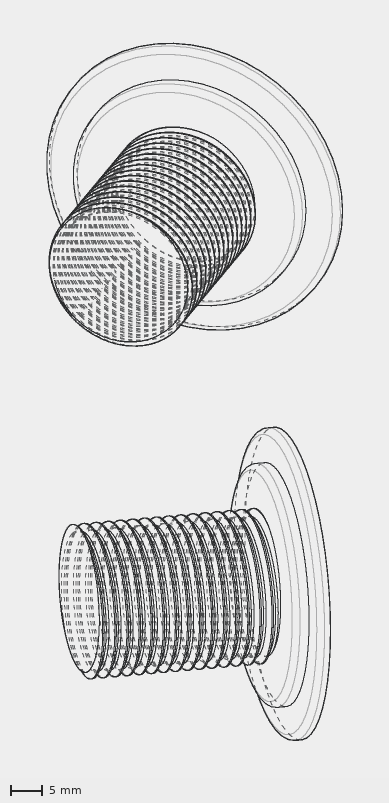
import cadquery as cq
import math

flange_diameter = 50.0
flange_thickness = 2.0
shoulder_diameter = 39.0
shoulder_thickness = 2.5
rim_fillet = 1.0

stud_length = 30.0
crest_diameter = 24.8
root_diameter = 22.55
pitch = 2.0
crest_flat = pitch / 8
flank_angle = 30.0
ridge_overlap = 0.15

shoulder_top = flange_thickness + shoulder_thickness
total_length = shoulder_top + stud_length
crest_radius = crest_diameter / 2
root_radius = root_diameter / 2


def rounded_disc(diameter, thickness, base_height):
    """Disc with its upper rim rounded."""
    disc = cq.Workplane("XY").workplane(offset=base_height).circle(diameter / 2).extrude(thickness)
    return disc.faces(">Z").edges().fillet(rim_fillet)


def thread_ridge():
    """Right-handed trapezoidal ridge that starts inside the head and runs past the stud tip."""
    end_height = total_length - pitch / 4 + pitch
    turns = math.ceil((end_height - shoulder_top) / pitch) + 1
    length = turns * pitch
    start_height = end_height - length

    inner_radius = root_radius - ridge_overlap
    half_crest = crest_flat / 2
    half_base = half_crest + (crest_radius - inner_radius) * math.tan(math.radians(flank_angle))
    profile = (
        cq.Workplane("XZ")
        .moveTo(inner_radius, start_height - half_base)
        .lineTo(crest_radius, start_height - half_crest)
        .lineTo(crest_radius, start_height + half_crest)
        .lineTo(inner_radius, start_height + half_base)
        .close()
    )
    helix = cq.Wire.makeHelix(pitch, length, root_radius, center=cq.Vector(0, 0, start_height))
    return profile.sweep(cq.Workplane(obj=helix), isFrenet=True)


def threaded_stud():
    """Stud core with its thread, trimmed flat at the tip."""
    core = cq.Workplane("XY").circle(root_radius).extrude(total_length)
    envelope = cq.Workplane("XY").circle(flange_diameter / 2).extrude(total_length)
    return core.union(thread_ridge().intersect(envelope))


flange = rounded_disc(flange_diameter, flange_thickness, 0)
shoulder = rounded_disc(shoulder_diameter, shoulder_thickness, flange_thickness)

result = flange.union(shoulder).union(threaded_stud()).rotate((0, 0, 0), (1, 0, 0), 90)